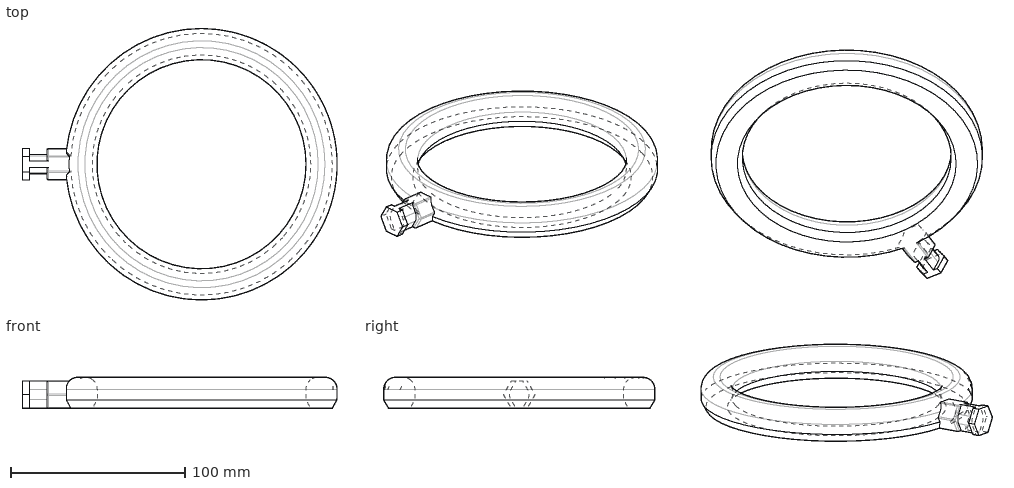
import cadquery as cq
import math

outer_radius = 78.0
bore_radius = 120.0 / 2
ring_height = 18.0
crown_radius = 7.0
base_chamfer_height = 4.9
base_chamfer_width = base_chamfer_height / math.tan(math.radians(60))

overall_length = 181.0
stem_left = outer_radius - overall_length
hex_flats = 15.7
flange_length = 4.2
body_offset = 14.1
body_edge_radius = 0.9
neck_radius = 5.6
stem_right = -(outer_radius + bore_radius) / 2


def make_ring():
    """Revolve a section with rounded top corners and bevelled bottom corners."""
    shoulder = ring_height - crown_radius
    diagonal = crown_radius * math.sqrt(0.5)
    outer_centre = outer_radius - crown_radius
    inner_centre = bore_radius + crown_radius
    section = (
        cq.Workplane("XZ")
        .moveTo(bore_radius + base_chamfer_width, 0)
        .lineTo(outer_radius - base_chamfer_width, 0)
        .lineTo(outer_radius, base_chamfer_height)
        .lineTo(outer_radius, shoulder)
        .threePointArc((outer_centre + diagonal, shoulder + diagonal), (outer_centre, ring_height))
        .lineTo(inner_centre, ring_height)
        .threePointArc((inner_centre - diagonal, shoulder + diagonal), (bore_radius, shoulder))
        .lineTo(bore_radius, base_chamfer_height)
        .close()
    )
    return section.revolve(360, (0, 0, 0), (0, 1, 0))


def stem_plane(x):
    """Plane across the stem at x, centred on the stem axis."""
    return cq.Workplane("YZ", origin=(x, 0, hex_flats / 2))


def make_hexagon(x, length):
    """Hexagonal bar with flats facing up and down."""
    across_corners = hex_flats / math.cos(math.radians(30))
    return stem_plane(x).polygon(6, across_corners).extrude(length)


def make_neck(x, length):
    """Narrow bar: flat top and bottom, 60 degree flanks blended into round sides."""
    half_height = hex_flats / 2
    tangent_y = neck_radius * math.cos(math.radians(30))
    tangent_z = neck_radius * math.sin(math.radians(30))
    half_flat = tangent_y - (half_height - tangent_z) / math.tan(math.radians(60))
    return (
        stem_plane(x)
        .moveTo(-half_flat, half_height)
        .lineTo(half_flat, half_height)
        .lineTo(tangent_y, tangent_z)
        .threePointArc((neck_radius, 0), (tangent_y, -tangent_z))
        .lineTo(half_flat, -half_height)
        .lineTo(-half_flat, -half_height)
        .lineTo(-tangent_y, -tangent_z)
        .threePointArc((-neck_radius, 0), (-tangent_y, tangent_z))
        .close()
        .extrude(length)
    )


flange = make_hexagon(stem_left, flange_length)

neck_left = stem_left + flange_length
body_left = stem_left + body_offset
neck = make_neck(neck_left, body_left - neck_left + body_edge_radius)

body = make_hexagon(body_left, stem_right - body_left)
body = body.edges("|X or <X").fillet(body_edge_radius)

result = make_ring().union(body).union(neck).union(flange)